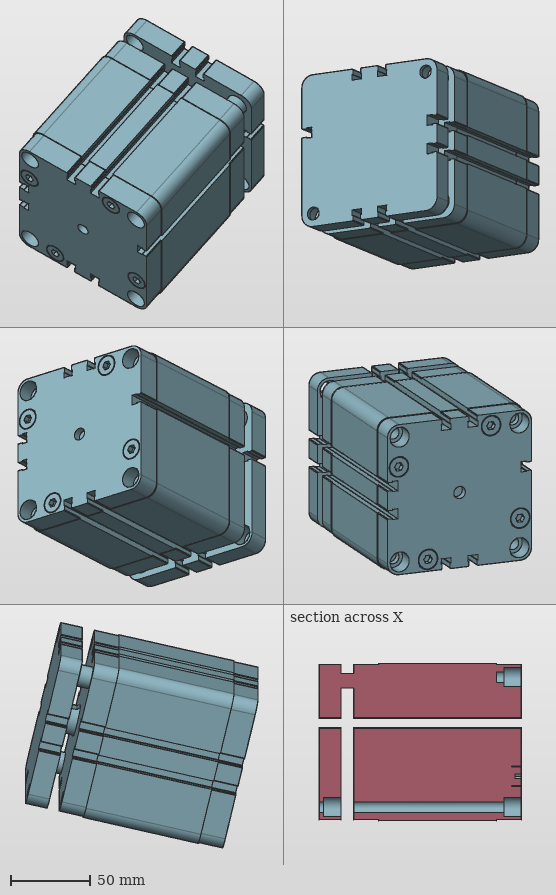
import cadquery as cq


total_length = 128.0
plate_thickness = 14.0
gap_length = 8.0
cap_length = 15.7
plate_start = total_length - plate_thickness
block_end = plate_start - gap_length
tube_length = block_end - 2 * cap_length

cap_spans = [(0, cap_length), (block_end - cap_length, cap_length), (plate_start, plate_thickness)]

tube_side = 100.0
cap_side = 99.0
corner_radius = 8.0

slot_offset = 9.2
single_slot_offset = 12.0
slot_mouth_width = 5.5
slot_inner_width = 6.7
slot_lip_depth = 4.1
slot_depth = 7.7
tube_slot_extra_depth = 0.3
slot_lip_chamfer = 0.5

mount_offset = 41.1
mount_bore_diameter = 13.0
mount_bore_depth = 11.0
mount_hole_diameter = 8.3

screw_far_offset = 41.6
screw_near_offset = 21.6
screw_bore_diameter = 13.5
screw_head_diameter = 12.5
screw_bore_depth = 6.0
socket_corner_diameter = 5.9
socket_depth = 4.0

centre_hole_diameter = 8.0
centre_hole_depth = 5.0

pin_offset = 38.7
pin_diameter = 14.0
rod_diameter = 20.0
rod_tip_diameter = 16.0
rod_flat_width = 16.6
rod_flat_length = 6.1


def section(y):
    """Workplane across the cylinder axis at the given Y, with local X = X and local Y = Z."""
    return cq.Workplane("XZ", origin=(0, y, 0))


def rounded_block(side, y, length):
    return section(y).rect(side, side).extrude(-length).edges("|Y").fillet(corner_radius)


def cylinder(x, z, diameter, y, length):
    return section(y).center(x, z).circle(diameter / 2).extrude(-length)


def t_slot(offset):
    """Cutter for one T-slot in the top side, over the whole length.

    The lips are chamfered in the caps and plate, and the floor is slightly lower in the tube.
    """
    tube_top = tube_side / 2
    lip_z = tube_top - slot_lip_depth
    floor_z = tube_top - slot_depth
    mouth = section(0).center(offset, (tube_top + lip_z) / 2)
    cutter = mouth.rect(slot_mouth_width, slot_lip_depth).extrude(-total_length)
    inner = section(0).center(offset, (lip_z + floor_z) / 2)
    cutter = cutter.union(inner.rect(slot_inner_width, lip_z - floor_z).extrude(-total_length))

    tube_floor = section(cap_length).center(offset, floor_z - tube_slot_extra_depth / 2)
    cutter = cutter.union(tube_floor.rect(slot_inner_width, tube_slot_extra_depth).extrude(-tube_length))

    cap_top = cap_side / 2
    half_mouth = slot_mouth_width / 2
    half_chamfer = half_mouth + slot_lip_chamfer
    for y, length in cap_spans:
        chamfer = (
            section(y)
            .moveTo(offset - half_chamfer, cap_top)
            .lineTo(offset + half_chamfer, cap_top)
            .lineTo(offset + half_mouth, cap_top - slot_lip_chamfer)
            .lineTo(offset - half_mouth, cap_top - slot_lip_chamfer)
            .close()
            .extrude(-length)
        )
        cutter = cutter.union(chamfer)
    return cutter


def piston_rod():
    """Rod with a rounded tip, and a flat on each X side ending in a 45 degree run-out."""
    tip_radius = (rod_diameter - rod_tip_diameter) / 2
    rod = cylinder(0, 0, rod_diameter, block_end, gap_length).faces(">Y").edges().fillet(tip_radius)
    half_flat = rod_flat_width / 2
    half_outer = rod_diameter / 2
    flat_start = plate_start - rod_flat_length
    flat = (
        cq.Workplane("XY", origin=(0, 0, -half_outer))
        .moveTo(half_flat, plate_start)
        .lineTo(half_flat, flat_start)
        .lineTo(half_outer, flat_start - (half_outer - half_flat))
        .lineTo(half_outer, plate_start)
        .close()
        .extrude(rod_diameter)
    )
    return rod.cut(flat).cut(flat.mirror("YZ"))


def mounting_hole(x, z, y, through_length):
    """Counterbored hole entered from the plane at Y = y."""
    bore = cylinder(x, z, mount_bore_diameter, y, mount_bore_depth)
    return bore.union(cylinder(x, z, mount_hole_diameter, y, through_length))


def screw_recess(x, z):
    """Clearance ring around a flush screw head, with the head's hexagon socket."""
    bore = cylinder(x, z, screw_bore_diameter, 0, screw_bore_depth)
    head = cylinder(x, z, screw_head_diameter, 0, screw_bore_depth)
    socket = section(0).center(x, z).polygon(6, socket_corner_diameter).extrude(-socket_depth)
    return bore.cut(head).union(socket)


result = rounded_block(tube_side, cap_length, tube_length)
for start, length in cap_spans:
    result = result.union(rounded_block(cap_side, start, length))

paired_slots = t_slot(slot_offset).union(t_slot(-slot_offset))
for angle in (0, 180, -90):
    result = result.cut(paired_slots.rotate((0, 0, 0), (0, 1, 0), angle))
result = result.cut(t_slot(-single_slot_offset).rotate((0, 0, 0), (0, 1, 0), 90))

for side in (-1, 1):
    offset = side * mount_offset
    result = result.cut(mounting_hole(offset, -offset, 0, block_end))
    result = result.cut(mounting_hole(offset, -offset, plate_start, plate_thickness))
    result = result.cut(mounting_hole(offset, offset, 0, cap_length))

screw_x, screw_z = screw_near_offset, screw_far_offset
for _ in range(4):
    result = result.cut(screw_recess(screw_x, screw_z))
    screw_x, screw_z = screw_z, -screw_x

result = result.cut(cylinder(0, 0, centre_hole_diameter, 0, centre_hole_depth))

result = result.union(piston_rod())
for side in (-1, 1):
    offset = side * pin_offset
    result = result.union(cylinder(offset, offset, pin_diameter, block_end, gap_length))